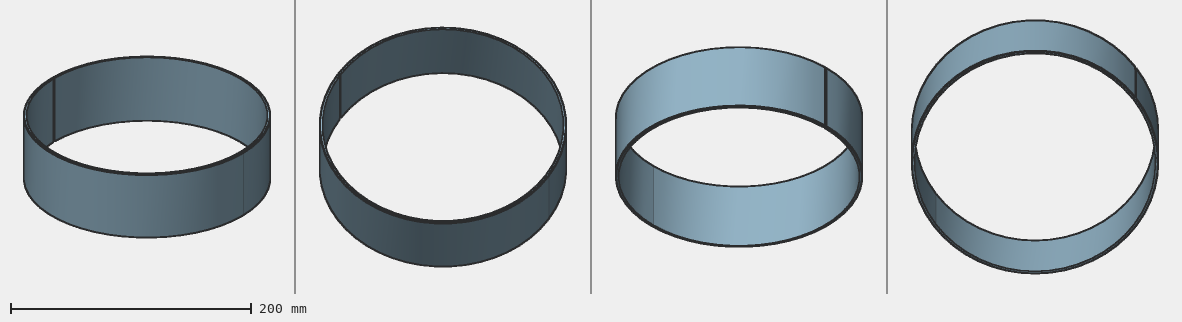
import cadquery as cq

outer_diameter = 205.0
wall = 2.5
height = 60.0
edge_chamfer = 0.6
slit_width = 1.8

outer_radius = outer_diameter / 2
slit_depth = 4 * wall

band = (
    cq.Workplane("XY")
    .circle(outer_radius)
    .extrude(height)
    .faces("<Z or >Z")
    .chamfer(edge_chamfer)
    .faces(">Z")
    .workplane()
    .circle(outer_radius - wall)
    .cutThruAll()
)

slit = (
    cq.Workplane("XY")
    .center(-outer_radius, slit_width / 2)
    .rect(slit_depth, slit_width)
    .extrude(height)
)

result = band.cut(slit)